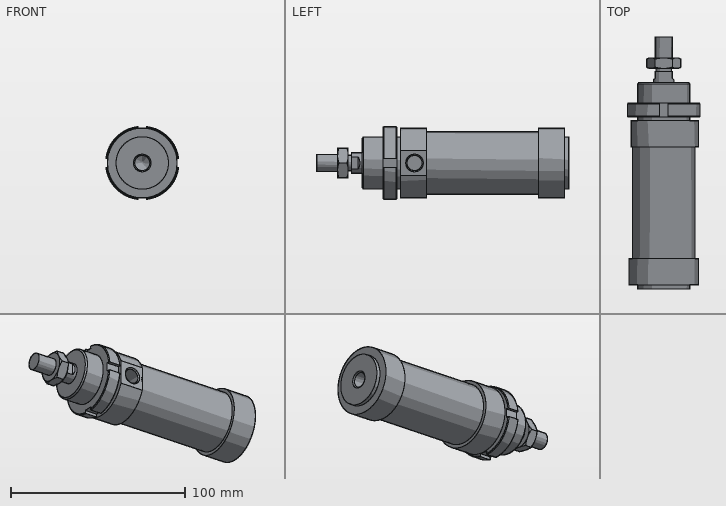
import cadquery as cq
import math


boss_length = 2.5
cap_length = 15.0
tube_length = 64.0
neck_length = 22.0
rod_length = 26.0

cap_rear_y = boss_length
tube_rear_y = cap_rear_y + cap_length
head_rear_y = tube_rear_y + tube_length
neck_rear_y = head_rear_y + cap_length
neck_front_y = neck_rear_y + neck_length

cap_diameter = 40.0
tube_diameter = 36.0
neck_diameter = 30.0
neck_chamfer = 0.9

port_diameter = 8.7
port_mouth_diameter = 10.1
port_chamfer = (port_mouth_diameter - port_diameter) / 2
rear_port_depth = 10.0
drill_point_angle = 118.0
side_port_depth = 10.0
side_port_offset = 7.0
port_flat_x = -18.6

ring_diameter = 42.0
ring_width = 8.0
ring_gap = 2.0
ring_chamfer = 0.5
ring_slot_width = 5.0
ring_slot_depth = 2.0
ring_slot_count = 4

rod_diameter = 12.0
thread_diameter = 10.0
groove_diameter = 9.0
groove_width = 1.9
shank_length = 6.0
wrench_size = 9.8
wrench_flat_length = 3.8

nut_sides = 6
nut_across_flats = 17.0
nut_thickness = 6.0
nut_chamfer_angle = 30.0
nut_rear_y = neck_front_y + shank_length + groove_width


def cylinder_along_y(diameter, start_y, length):
    """Solid cylinder on the Y axis, growing toward +Y from start_y."""
    return cq.Workplane("XZ", origin=(0, start_y, 0)).circle(diameter / 2).extrude(-length)


def block(x_range, y_range, z_range):
    """Axis-aligned block between the given pairs of limits."""
    ranges = (x_range, y_range, z_range)
    sizes = [high - low for low, high in ranges]
    centre = tuple((low + high) / 2 for low, high in ranges)
    return cq.Workplane("XY").box(*sizes).translate(centre)


def make_rear_port():
    """Cutter for the chamfered, drill-pointed port in the rear face."""
    radius = port_diameter / 2
    point_length = radius / math.tan(math.radians(drill_point_angle / 2))
    return (
        cq.Workplane("XY")
        .moveTo(0, 0)
        .lineTo(port_mouth_diameter / 2, 0)
        .lineTo(radius, port_chamfer)
        .lineTo(radius, rear_port_depth)
        .lineTo(0, rear_port_depth + point_length)
        .close()
        .revolve(360, (0, 0, 0), (0, 1, 0))
    )


def make_side_port():
    """Cutter for the chamfered, flat-bottomed port in the flat of the front head."""
    radius = port_diameter / 2
    port_y = head_rear_y + side_port_offset
    return (
        cq.Workplane("XY", origin=(port_flat_x, port_y, 0))
        .moveTo(0, 0)
        .lineTo(0, port_mouth_diameter / 2)
        .lineTo(port_chamfer, radius)
        .lineTo(side_port_depth, radius)
        .lineTo(side_port_depth, 0)
        .close()
        .revolve(360, (0, 0, 0), (1, 0, 0))
    )


def make_housing():
    """Rear cap, tube, front head and threaded neck in one piece, with both ports."""
    boss = cylinder_along_y(neck_diameter, 0, boss_length)
    rear_cap = cylinder_along_y(cap_diameter, cap_rear_y, cap_length)
    tube = cylinder_along_y(tube_diameter, tube_rear_y, tube_length)
    neck = cylinder_along_y(neck_diameter, neck_rear_y, neck_length).faces(">Y").chamfer(neck_chamfer)

    half = cap_diameter / 2
    head_front_y = head_rear_y + cap_length
    head = cylinder_along_y(cap_diameter, head_rear_y, cap_length)
    head = head.cut(block((-cap_diameter, port_flat_x), (head_rear_y, head_front_y), (-half, half)))

    body = boss.union(rear_cap).union(tube).union(head).union(neck)
    return body.cut(make_rear_port()).cut(make_side_port())


def make_ring_nut():
    """Round nut on the neck with evenly spaced spanner slots across its rim."""
    rear_y = neck_rear_y + ring_gap
    front_y = rear_y + ring_width
    ring = cylinder_along_y(ring_diameter, rear_y, ring_width).faces("<Y or >Y").chamfer(ring_chamfer)
    ring = ring.cut(cylinder_along_y(neck_diameter, rear_y, ring_width))

    half_slot = ring_slot_width / 2
    slot_floor = ring_diameter / 2 - ring_slot_depth
    slot = block((-half_slot, half_slot), (rear_y, front_y), (slot_floor, ring_diameter))
    for index in range(ring_slot_count):
        ring = ring.cut(slot.rotate((0, 0, 0), (0, 1, 0), index * 360 / ring_slot_count))
    return ring


def make_rod():
    """Rod with a flatted shank, a thread relief groove and a threaded end."""
    thread_length = rod_length - shank_length - groove_width
    shank = cylinder_along_y(rod_diameter, neck_front_y, shank_length)
    groove = cylinder_along_y(groove_diameter, neck_front_y + shank_length, groove_width)
    thread = cylinder_along_y(thread_diameter, nut_rear_y, thread_length)

    inner_x = wrench_size / 2
    shank_end_y = neck_front_y + shank_length
    flat_rear_y = shank_end_y - wrench_flat_length
    flat = (
        cq.Workplane("XY")
        .moveTo(inner_x, shank_end_y)
        .lineTo(inner_x, flat_rear_y)
        .lineTo(rod_diameter, flat_rear_y - (rod_diameter - inner_x))
        .lineTo(rod_diameter, shank_end_y)
        .close()
        .extrude(rod_diameter / 2, both=True)
    )
    shank = shank.cut(flat).cut(flat.mirror("YZ"))
    return shank.union(groove).union(thread)


def make_hex_nut():
    """Hexagon nut with corners on the X axis and both rims turned to a cone."""
    across_corners = nut_across_flats / math.cos(math.pi / nut_sides)
    hexagon = cq.Workplane("XZ", origin=(0, nut_rear_y, 0)).polygon(nut_sides, across_corners)
    nut = hexagon.extrude(-nut_thickness)

    corner_cut = (across_corners - nut_across_flats) / 2
    corner_drop = corner_cut * math.tan(math.radians(nut_chamfer_angle))
    blank = cylinder_along_y(across_corners, nut_rear_y, nut_thickness)
    blank = blank.faces(">Y").chamfer(corner_drop, corner_cut)
    blank = blank.faces("<Y").chamfer(corner_drop, corner_cut)
    nut = nut.intersect(blank)
    return nut.cut(cylinder_along_y(thread_diameter, nut_rear_y, nut_thickness))


housing = make_housing()
ring_nut = make_ring_nut()
rod = make_rod()
hex_nut = make_hex_nut()

result = cq.Compound.makeCompound([housing.val(), ring_nut.val(), rod.val(), hex_nut.val()])